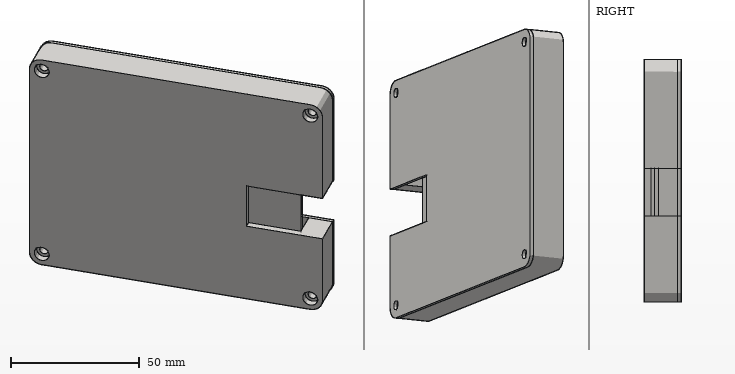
import cadquery as cq

overall_x = 119.2
overall_y = 14.4
overall_z = 94.0

lid_offset = 0.2
lid_thickness = 1.4
case_x = overall_x - lid_offset
housing_depth = overall_y - lid_thickness
corner_radius = 5.0

hole_diameter = 3.5
counterbore_diameter = 6.0
counterbore_depth = 3.0

notch_length = 30.9
notch_height = 18.5
notch_center_z = -4.4

front_wall = 2.7
side_wall = 9.7
board_clearance = 0.2
board_front_gap = 1.2
board_thickness = 1.5

front_y = -overall_y / 2
lid_y = front_y + housing_depth
housing_center_x = -lid_offset / 2
lid_center_x = housing_center_x + lid_offset
cavity_x = case_x - 2 * side_wall
cavity_z = overall_z - 2 * side_wall


def slab(center_x, center_z, size_x, size_z, start_y, thickness):
    """Rectangular block that runs from start_y towards +Y."""
    block = cq.Workplane("XY").box(size_x, thickness, size_z, centered=(True, False, True))
    return block.translate((center_x, start_y, center_z))


def case_slab(center_x, start_y, thickness):
    """Block with the rounded outline shared by housing and lid."""
    block = slab(center_x, 0, case_x, overall_z, start_y, thickness)
    return block.edges("|Y").fillet(corner_radius)


def corner_holes(center_x, diameter, start_y, depth):
    """Four cylinders along Y at the centers of the rounded corners."""
    spacing_x = case_x - 2 * corner_radius
    spacing_z = overall_z - 2 * corner_radius
    cylinders = (
        cq.Workplane("XZ")
        .rarray(spacing_x, spacing_z, 2, 2)
        .circle(diameter / 2)
        .extrude(-depth)
    )
    return cylinders.translate((center_x, start_y, 0))


def notch(center_x):
    """Cutter for the notch, open on the +X side and through the full depth."""
    notch_center_x = center_x + (case_x - notch_length) / 2
    return slab(notch_center_x, notch_center_z, notch_length, notch_height, front_y, overall_y)


def make_housing():
    """Shell open towards the lid, with counterbored screw holes and the notch."""
    body = case_slab(housing_center_x, front_y, housing_depth)
    cavity_depth = housing_depth - front_wall
    body = body.cut(slab(housing_center_x, 0, cavity_x, cavity_z, front_y + front_wall, cavity_depth))
    body = body.cut(notch(housing_center_x))
    body = body.cut(corner_holes(housing_center_x, hole_diameter, front_y, housing_depth))
    return body.cut(corner_holes(housing_center_x, counterbore_diameter, front_y, counterbore_depth))


def make_lid():
    """Flat cover with matching screw holes and notch."""
    body = case_slab(lid_center_x, lid_y, lid_thickness)
    body = body.cut(notch(lid_center_x))
    return body.cut(corner_holes(lid_center_x, hole_diameter, lid_y, lid_thickness))


def make_board():
    """Flat board lying in the cavity just behind the front wall, exposed in the notch."""
    board_x = cavity_x - 2 * board_clearance
    board_z = cavity_z - 2 * board_clearance
    board_y = front_y + front_wall + board_front_gap
    return slab(housing_center_x, 0, board_x, board_z, board_y, board_thickness)


housing = make_housing()
lid = make_lid()
board = make_board()

result = cq.Compound.makeCompound([housing.solids().val(), lid.solids().val(), board.val()])